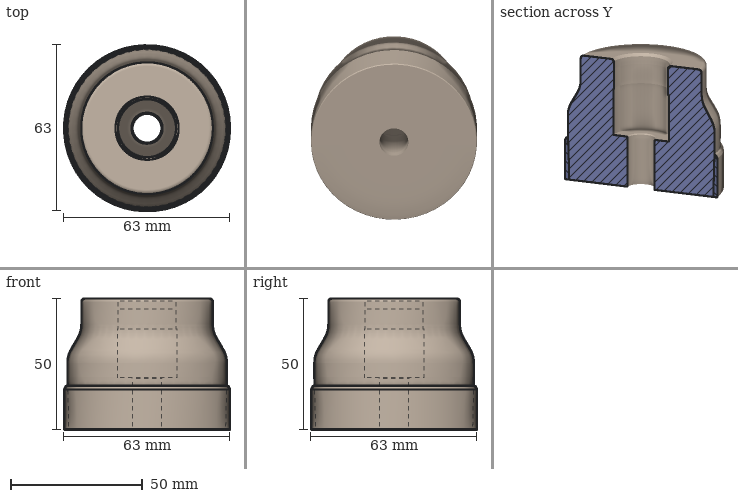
import cadquery as cq
import math

total_height = 50.0

base_radius = 31.5
base_rim_height = 15.5
base_chamfer_height = 1.15
base_chamfer_angle = math.radians(30)
base_lip_height = 0.35
bottom_chamfer_height = 0.45

neck_radius = 25.0
neck_bottom = 40.0
top_round = 1.5
body_radius = 30.32
blend_radius = 10.0
shoulder_angle = math.radians(30)
seat_top = 20.0
seat_draft = math.radians(1.5)

bore_radius = 11.0
mouth_chamfer = 1.0
bore_step_z = 46.0
bore_step_radius = 11.05
relief_top = 38.3
relief_radius = 11.3
bore_floor = 20.0
hole_radius = 5.5
hole_chamfer = 0.4

blend_inset = blend_radius * (1 - math.cos(shoulder_angle))
blend_drop = blend_radius * math.sin(shoulder_angle)
shoulder_top = neck_bottom - blend_drop
shoulder_width = body_radius - neck_radius - 2 * blend_inset
shoulder_bottom = shoulder_top - shoulder_width / math.tan(shoulder_angle)
body_top = shoulder_bottom - blend_drop
base_chamfer_top = base_rim_height + base_chamfer_height
base_lip_top = base_chamfer_top + base_lip_height


def seat_radius(z):
    """Radius of the tapered seat shared by the two bodies at height z."""
    return body_radius - (seat_top - z) * math.tan(seat_draft)


def turn(profile):
    """Revolve a closed XZ half section about the Z axis."""
    return profile.revolve(360, (0, 0, 0), (0, 1, 0))


def make_base_ring():
    chamfer_width = base_chamfer_height * math.tan(base_chamfer_angle)
    bottom_chamfer_width = bottom_chamfer_height * math.tan(base_chamfer_angle)
    profile = (
        cq.Workplane("XZ")
        .moveTo(seat_radius(0), 0)
        .lineTo(base_radius - bottom_chamfer_width, 0)
        .lineTo(base_radius, bottom_chamfer_height)
        .lineTo(base_radius, base_rim_height)
        .lineTo(base_radius - chamfer_width, base_chamfer_top)
        .lineTo(seat_radius(base_lip_top), base_lip_top)
        .close()
    )
    return turn(profile)


def make_housing():
    profile = (
        cq.Workplane("XZ")
        .moveTo(hole_radius, 0)
        .lineTo(seat_radius(0), 0)
        .lineTo(body_radius, seat_top)
        .lineTo(body_radius, body_top)
        .radiusArc((body_radius - blend_inset, shoulder_bottom), -blend_radius)
        .lineTo(neck_radius + blend_inset, shoulder_top)
        .radiusArc((neck_radius, neck_bottom), blend_radius)
        .lineTo(neck_radius, total_height - top_round)
        .radiusArc((neck_radius - top_round, total_height), -top_round)
        .lineTo(bore_radius + mouth_chamfer, total_height)
        .lineTo(bore_radius, total_height - mouth_chamfer)
        .lineTo(bore_radius, bore_step_z)
        .lineTo(bore_step_radius, bore_step_z)
        .lineTo(bore_step_radius, relief_top)
        .lineTo(relief_radius, relief_top)
        .lineTo(relief_radius, bore_floor)
        .lineTo(hole_radius + hole_chamfer, bore_floor)
        .lineTo(hole_radius, bore_floor - hole_chamfer)
        .close()
    )
    return turn(profile)


base_ring = make_base_ring()
housing = make_housing()

result = cq.Compound.makeCompound([housing.val(), base_ring.val()])